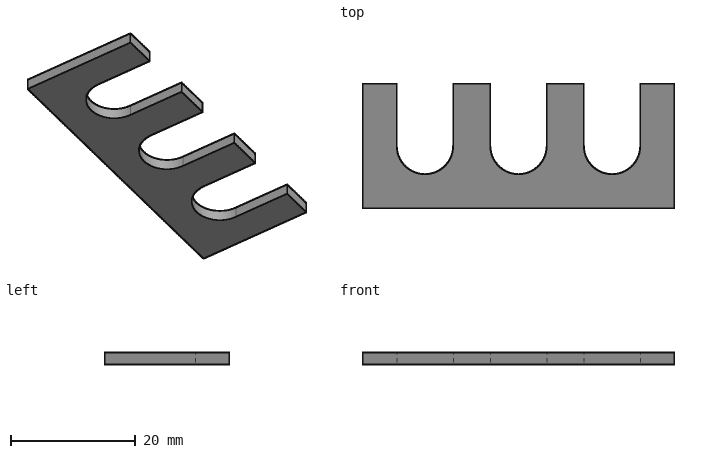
import cadquery as cq

length = 50.0
width = 20.0
thickness = 2.0

slot_count = 3
slot_pitch = 15.0
slot_width = 9.0
slot_depth = 14.5


def open_slot(x_center):
    """Cutter for one slot: straight sides from the +Y edge to a half-round bottom."""
    radius = slot_width / 2
    edge_y = width / 2
    bottom_y = edge_y - slot_depth
    arc_start_y = bottom_y + radius
    return (
        cq.Workplane("XY")
        .moveTo(x_center - radius, edge_y)
        .lineTo(x_center - radius, arc_start_y)
        .threePointArc((x_center, bottom_y), (x_center + radius, arc_start_y))
        .lineTo(x_center + radius, edge_y)
        .close()
        .extrude(thickness)
    )


result = cq.Workplane("XY").box(length, width, thickness, centered=(True, True, False))

for index in range(slot_count):
    offset_from_middle = index - (slot_count - 1) / 2
    result = result.cut(open_slot(offset_from_middle * slot_pitch))